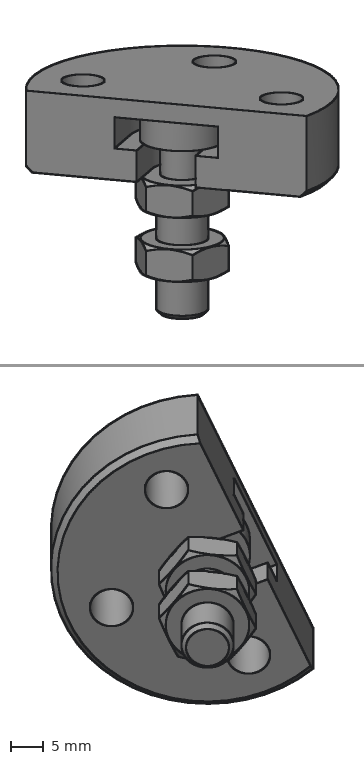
import cadquery as cq
import math

disc_diameter = 48.0
disc_radius = disc_diameter / 2
flat_y = -disc_diameter / 6
housing_height = 13.0
housing_chamfer = 1.0

bolt_radius = disc_diameter / 3
bolt_hole_diameter = 6.6
bolt_angles = (0, 90, 180)

slot_top_z = -3.0
slot_floor_z = -7.95
slot_width = 16.65
slot_neck_width = 9.5

head_diameter = 13.0
head_clearance = 0.15
head_top_z = slot_top_z - head_clearance
neck_diameter = 6.75
shank_diameter = 8.0
shank_end_z = -35.7
shank_chamfer = 0.7

hex_across_flats = 13.0
hex_across_corners = hex_across_flats / math.cos(math.radians(30))
hex_height = 5.2
hex_face_diameter = 12.8
hex_chamfer_angle = 30.0
collar_top_z = -13.5
nut_top_z = -23.7


def cylinder(diameter, bottom_z, top_z):
    """Upright cylinder on the stud axis."""
    return cq.Workplane("XY").workplane(offset=bottom_z).circle(diameter / 2).extrude(top_z - bottom_z)


def slot_cutter(width, bottom_z, top_z):
    """Straight channel from the flat to the stud axis with a semicircular end."""
    channel = (
        cq.Workplane("XY")
        .workplane(offset=bottom_z)
        .center(0, flat_y / 2)
        .rect(width, -flat_y)
        .extrude(top_z - bottom_z)
    )
    return channel.union(cylinder(width, bottom_z, top_z))


def make_housing():
    body = cylinder(disc_diameter, -housing_height, 0).faces("<Z").chamfer(housing_chamfer)

    kept_depth = disc_radius - flat_y
    kept_region = (
        cq.Workplane("XY")
        .center(0, flat_y + kept_depth / 2)
        .rect(disc_diameter, kept_depth)
        .extrude(-housing_height)
    )
    body = body.intersect(kept_region)

    body = body.cut(slot_cutter(slot_width, slot_floor_z, slot_top_z))
    body = body.cut(slot_cutter(slot_neck_width, -housing_height, slot_floor_z))

    for angle in bolt_angles:
        x = bolt_radius * math.cos(math.radians(angle))
        y = bolt_radius * math.sin(math.radians(angle))
        hole = cq.Workplane("XY").center(x, y).circle(bolt_hole_diameter / 2).extrude(-housing_height)
        body = body.cut(hole)
    return body


def hexagon(top_z):
    """Hexagonal prism with corners on the X axis, bevelled by a cone at both ends."""
    bottom_z = top_z - hex_height
    prism = (
        cq.Workplane("XY")
        .workplane(offset=bottom_z)
        .polygon(6, hex_across_corners)
        .extrude(hex_height)
    )
    face_radius = hex_face_diameter / 2
    corner_radius = hex_across_corners / 2
    bevel_drop = (corner_radius - face_radius) * math.tan(math.radians(hex_chamfer_angle))
    bevelled_blank = (
        cq.Workplane("XZ")
        .moveTo(0, bottom_z)
        .lineTo(face_radius, bottom_z)
        .lineTo(corner_radius, bottom_z + bevel_drop)
        .lineTo(corner_radius, top_z - bevel_drop)
        .lineTo(face_radius, top_z)
        .lineTo(0, top_z)
        .close()
        .revolve(360, (0, 0, 0), (0, 1, 0))
    )
    return prism.intersect(bevelled_blank)


def make_stud():
    head = cylinder(head_diameter, slot_floor_z, head_top_z)
    neck = cylinder(neck_diameter, collar_top_z, slot_floor_z)
    collar = hexagon(collar_top_z)
    collar_bottom_z = collar_top_z - hex_height
    shank = cylinder(shank_diameter, shank_end_z, collar_bottom_z).faces("<Z").chamfer(shank_chamfer)
    return head.union(neck).union(collar).union(shank)


def make_nut():
    bore = cylinder(shank_diameter, nut_top_z - hex_height, nut_top_z)
    return hexagon(nut_top_z).cut(bore)


housing = make_housing()
stud = make_stud()
nut = make_nut()

result = cq.Compound.makeCompound([housing.val(), stud.val(), nut.val()])